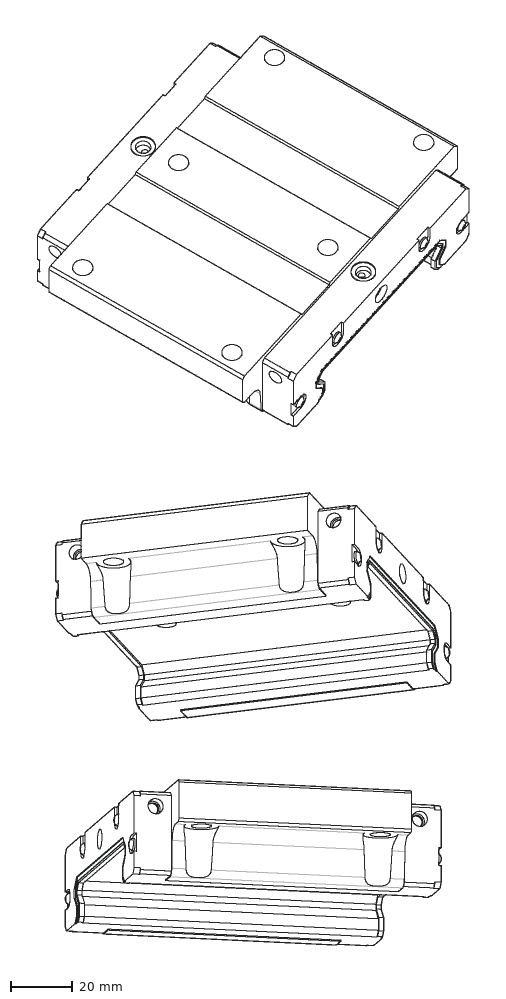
import cadquery as cq

LENGTH = 104.5
WIDTH = 119.9
HEIGHT = 30.0
HALF_WIDTH = WIDTH / 2

BLOCK_HALF_LENGTH = 39.0
FLANGE_BOTTOM = 16.1
FLANGE_FILLET = 4.5
SKIRT_TOP_Y = 50.2
SKIRT_BOTTOM_Y = 49.6
SKIRT_ROUNDING = 2.4
BACK_CHAMFER = 2.0
FRONT_CHAMFER = 1.0
FOOT_INNER_Y = 41.0
FOOT_STEP = 0.4

CHANNEL_INNER_Y = 11.3
CHANNEL_OUTER_Y = 27.3
CHANNEL_DEPTH = 0.8
CHANNEL_WALL_RUN = 0.5

MOUNT_DIAMETER = 6.6
MOUNT_CLEARANCE = 11.4
MOUNT_X = 30.0
MOUNT_Y = 53.5

RAIL_TOP = 13.4
RAIL_TOP_Y = 32.0
RAIL_WAIST_Y = 34.2
RAIL_WAIST_BOTTOM = 9.8
RAIL_LIP_Y = 30.7
RAIL_LIP_BOTTOM = 1.9
BODY_CLEARANCE = 0.7
RELIEF_CLEARANCE = 2.0
RELIEF_DEPTH = 0.4
LIP_CLEARANCE = 0.7
LIP_DEPTH = 0.5

CAP_HALF_WIDTH = 49.0
CAP_TOP = 27.9
CAP_BOTTOM = FOOT_STEP
CAP_END = 49.3
CAP_CHAMFER = 1.2
PLATE_END = 51.4
PLATE_CHAMFER = 1.8

NOTCH_WIDTH = 6.0
NOTCH_DEPTH = 0.8
NOTCH_FLOOR = PLATE_END - NOTCH_DEPTH
HEAD_DIAMETER = 4.0
HEAD_RIM = 0.6
DOME_MID_RISE = 0.65
DOME_MID_RUN = 0.55
SOCKET_DIAMETER = 1.2
SOCKET_DEPTH = 0.8
UPPER_SCREW_Y = 24.1
UPPER_SCREW_Z = 23.0
SIDE_SCREW_Y = 45.0
SIDE_SCREW_Z = 10.7

PORT_X = 44.2
PORT_DIAMETER = 5.0
END_PORT_Z = 21.5
END_PORT_RIM = 6.5
END_PORT_RIM_DEPTH = PLATE_END - CAP_END
END_PORT_DEPTH = 4.2
TOP_PORT_RIM = 8.0
TOP_PORT_RIM_DEPTH = 0.5
TOP_PORT_DEPTH = 2.6
TOP_DUCT_X = 43.5
TOP_DUCT_DIAMETER = 2.2
TOP_DUCT_DEPTH = 4.8
SIDE_PORT_Z = 22.9
SIDE_PORT_CORE = 4.0
SIDE_PORT_DEPTH = 4.2
SIDE_PORT_BOTTOM = 5.4

SIDES = (-1, 1)


def extrude_along_x(sketch, x_from, x_to):
    """Extrude a closed YZ outline between two X positions."""
    return sketch.extrude(x_to - x_from).translate((x_from, 0, 0))


def rounded_flank(outline, side):
    """Continue the outline from the flange underside of one side down to its foot, or back up."""
    corner_y = SKIRT_TOP_Y + FLANGE_FILLET
    fillet_bottom = FLANGE_BOTTOM - FLANGE_FILLET
    foot_y = SKIRT_BOTTOM_Y - SKIRT_ROUNDING
    diagonal = 0.5 ** 0.5
    fillet_mid = (side * (corner_y - FLANGE_FILLET * diagonal),
                  fillet_bottom + FLANGE_FILLET * diagonal)
    foot_mid = (side * (foot_y + SKIRT_ROUNDING * diagonal), SKIRT_ROUNDING * (1 - diagonal))
    flange_corner = (side * corner_y, FLANGE_BOTTOM)
    skirt_top = (side * SKIRT_TOP_Y, fillet_bottom)
    skirt_bottom = (side * SKIRT_BOTTOM_Y, SKIRT_ROUNDING)
    foot = (side * foot_y, 0)
    if side > 0:
        outline = outline.lineTo(*flange_corner).threePointArc(fillet_mid, skirt_top)
        return outline.lineTo(*skirt_bottom).threePointArc(foot_mid, foot)
    outline = outline.lineTo(*foot).threePointArc(foot_mid, skirt_bottom)
    return outline.lineTo(*skirt_top).threePointArc(fillet_mid, flange_corner)


def make_block():
    outline = (
        cq.Workplane("YZ")
        .moveTo(-HALF_WIDTH + FRONT_CHAMFER, HEIGHT)
        .lineTo(HALF_WIDTH - BACK_CHAMFER, HEIGHT)
        .lineTo(HALF_WIDTH, HEIGHT - BACK_CHAMFER)
        .lineTo(HALF_WIDTH, FLANGE_BOTTOM)
    )
    outline = rounded_flank(outline, 1)
    outline = rounded_flank(outline, -1)
    outline = (
        outline
        .lineTo(-HALF_WIDTH + FRONT_CHAMFER, FLANGE_BOTTOM)
        .lineTo(-HALF_WIDTH, FLANGE_BOTTOM + FRONT_CHAMFER)
        .lineTo(-HALF_WIDTH, HEIGHT - FRONT_CHAMFER)
        .close()
    )
    block = extrude_along_x(outline, -BLOCK_HALF_LENGTH, BLOCK_HALF_LENGTH)
    foot_relief = cq.Workplane("XY").box(
        2 * BLOCK_HALF_LENGTH, 2 * FOOT_INNER_Y, FOOT_STEP, centered=(True, True, False))
    return block.cut(foot_relief)


def top_channel(side):
    """Shallow channel with sloping walls across the top of the block."""
    outline = cq.Workplane("YZ").polyline([
        (side * CHANNEL_INNER_Y, HEIGHT),
        (side * (CHANNEL_INNER_Y + CHANNEL_WALL_RUN), HEIGHT - CHANNEL_DEPTH),
        (side * (CHANNEL_OUTER_Y - CHANNEL_WALL_RUN), HEIGHT - CHANNEL_DEPTH),
        (side * CHANNEL_OUTER_Y, HEIGHT),
    ]).close()
    return extrude_along_x(outline, -BLOCK_HALF_LENGTH, BLOCK_HALF_LENGTH)


def mounting_holes():
    columns = [(side * MOUNT_X, y) for side in SIDES for y in (-MOUNT_Y, 0, MOUNT_Y)]
    flange_columns = [point for point in columns if point[1] != 0]
    holes = cq.Workplane("XY").pushPoints(columns).circle(MOUNT_DIAMETER / 2).extrude(HEIGHT)
    clearance = (
        cq.Workplane("XY").pushPoints(flange_columns)
        .circle(MOUNT_CLEARANCE / 2).extrude(FLANGE_BOTTOM)
    )
    return holes.union(clearance)


def rail_opening(clearance, x_from, x_to):
    """Solid filling the rail opening, grown outward by the clearance; open at the bottom."""
    lip_top = RAIL_WAIST_BOTTOM - (RAIL_WAIST_Y - RAIL_LIP_Y)
    overrun = 3.6
    half = [
        (RAIL_TOP_Y, RAIL_TOP),
        (RAIL_WAIST_Y, RAIL_TOP - (RAIL_WAIST_Y - RAIL_TOP_Y)),
        (RAIL_WAIST_Y, RAIL_WAIST_BOTTOM),
        (RAIL_LIP_Y, lip_top),
        (RAIL_LIP_Y, RAIL_LIP_BOTTOM),
        (RAIL_LIP_Y + RAIL_LIP_BOTTOM + overrun, -overrun),
    ]
    mirrored = [(-y, z) for y, z in reversed(half)]
    outline = cq.Workplane("YZ").polyline(half + mirrored).close()
    if clearance:
        outline = outline.offset2D(clearance, "intersection")
    return extrude_along_x(outline, x_from, x_to)


def end_slab(x_from, x_to, chamfer):
    """Rectangular slab across the end of the block with chamfered corners."""
    slab = cq.Workplane("XY").box(
        x_to - x_from, 2 * CAP_HALF_WIDTH, CAP_TOP - CAP_BOTTOM, centered=(False, True, False))
    return slab.edges("|X").chamfer(chamfer).translate((x_from, 0, CAP_BOTTOM))


def screw_notch(y, z, open_to_top):
    """Notch with a round end about the screw, open to the plate's top or outer edge."""
    reach = CAP_TOP - z if open_to_top else CAP_HALF_WIDTH - abs(y)
    plane = cq.Workplane("YZ").center(y, z)
    round_end = plane.circle(NOTCH_WIDTH / 2).extrude(NOTCH_DEPTH)
    if open_to_top:
        channel = plane.center(0, reach / 2).rect(NOTCH_WIDTH, reach).extrude(NOTCH_DEPTH)
    else:
        outward = reach / 2 if y > 0 else -reach / 2
        channel = plane.center(outward, 0).rect(reach, NOTCH_WIDTH).extrude(NOTCH_DEPTH)
    return round_end.union(channel).translate((NOTCH_FLOOR, 0, 0))


def screw_head(y, z):
    """Domed screw head with a round socket, standing on the notch floor."""
    head_height = LENGTH / 2 - NOTCH_FLOOR
    rim_radius = HEAD_DIAMETER / 2
    socket_radius = SOCKET_DIAMETER / 2
    dome_mid = (HEAD_RIM + DOME_MID_RISE * (head_height - HEAD_RIM),
                socket_radius + DOME_MID_RUN * (rim_radius - socket_radius))
    head = (
        cq.Workplane("XY")
        .lineTo(0, rim_radius)
        .lineTo(HEAD_RIM, rim_radius)
        .threePointArc(dome_mid, (head_height, socket_radius))
        .lineTo(head_height - SOCKET_DEPTH, socket_radius)
        .lineTo(head_height - SOCKET_DEPTH, 0)
        .close()
        .revolve(360, (0, 0, 0), (1, 0, 0))
    )
    return head.translate((NOTCH_FLOOR, y, z))


def end_port():
    """Counterbored blind port in the middle of the end plate."""
    plane = cq.Workplane("YZ", origin=(PLATE_END, 0, END_PORT_Z))
    rim = plane.circle(END_PORT_RIM / 2).extrude(-END_PORT_RIM_DEPTH)
    return rim.union(plane.circle(PORT_DIAMETER / 2).extrude(-END_PORT_DEPTH))


def top_port():
    """Stepped port in the top of the cap, with a thin duct in its floor."""
    plane = cq.Workplane("XY", origin=(PORT_X, 0, CAP_TOP))
    duct = cq.Workplane("XY", origin=(TOP_DUCT_X, 0, CAP_TOP))
    return (
        plane.circle(TOP_PORT_RIM / 2).extrude(-TOP_PORT_RIM_DEPTH)
        .union(plane.circle(PORT_DIAMETER / 2).extrude(-TOP_PORT_DEPTH))
        .union(duct.circle(TOP_DUCT_DIAMETER / 2).extrude(-TOP_DUCT_DEPTH))
    )


def side_port(side):
    """Blind port in the side of the cap, narrowing at its bottom."""
    plane = cq.Workplane("XZ", origin=(PORT_X, side * CAP_HALF_WIDTH, SIDE_PORT_Z))
    wide = plane.circle(PORT_DIAMETER / 2).extrude(side * SIDE_PORT_DEPTH)
    return wide.union(plane.circle(SIDE_PORT_CORE / 2).extrude(side * SIDE_PORT_BOTTOM))


def make_end():
    """Cap, plate, screws and ports of the +X end."""
    cap = end_slab(BLOCK_HALF_LENGTH, CAP_END, CAP_CHAMFER)
    cap = cap.cut(rail_opening(BODY_CLEARANCE, BLOCK_HALF_LENGTH, CAP_END))
    plate = end_slab(CAP_END, PLATE_END, PLATE_CHAMFER)
    plate = plate.cut(rail_opening(0, CAP_END, PLATE_END))
    plate = plate.cut(rail_opening(RELIEF_CLEARANCE, PLATE_END - RELIEF_DEPTH, PLATE_END))
    plate = plate.cut(rail_opening(LIP_CLEARANCE, PLATE_END - LIP_DEPTH, PLATE_END))

    end = cap.union(plate).cut(end_port()).cut(top_port())
    for side in SIDES:
        end = end.cut(side_port(side))
        for y, z, open_to_top in (
            (side * UPPER_SCREW_Y, UPPER_SCREW_Z, True),
            (side * SIDE_SCREW_Y, SIDE_SCREW_Z, False),
        ):
            end = end.cut(screw_notch(y, z, open_to_top)).union(screw_head(y, z))
    return end


block = make_block()
block = block.cut(rail_opening(BODY_CLEARANCE, -BLOCK_HALF_LENGTH, BLOCK_HALF_LENGTH))
for channel_side in SIDES:
    block = block.cut(top_channel(channel_side))
block = block.cut(mounting_holes())

right_end = make_end()
result = block.union(right_end).union(right_end.mirror("YZ"))